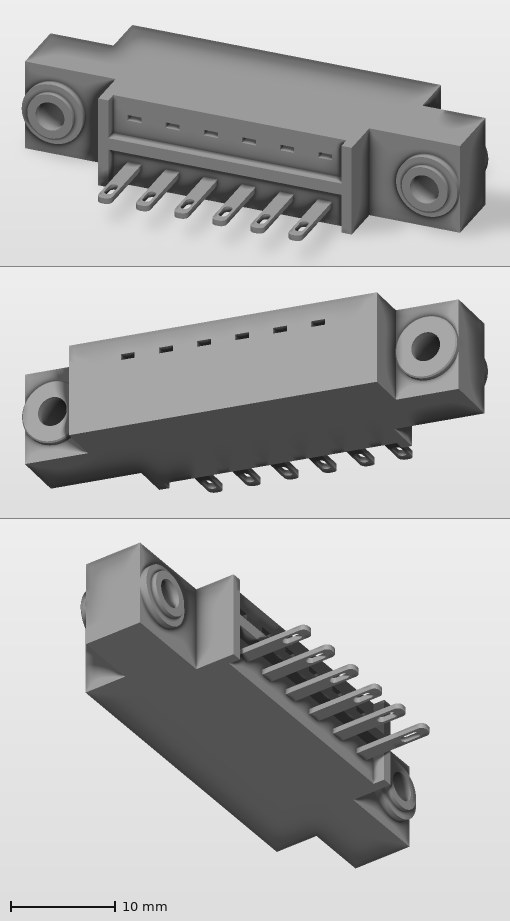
import cadquery as cq


housing_height = 9.4
housing_depth = 15.25
back_block_width = 32.1
front_block_width = 26.33
wing_span = 45.17
wing_front = 4.35
wing_thickness = 6.3
wing_back = wing_front + wing_thickness

recess_width = 24.2
recess_depth = 1.22
rib_thickness = 1.22

contact_count = 6
row_length = 19.8
contact_pitch = row_length / (contact_count - 1)
row_height = 2.55
contact_width = 1.45
contact_thickness = 0.6
contact_places = [i * contact_pitch - row_length / 2 for i in range(contact_count)]

terminal_tip = -6.55
tip_radius = 0.6
eye_width = 0.85
eye_length = 2.15
eye_centre = -4.58

overall_width = 45.3
front_flange_radius = 3.15
back_flange_radius = 3.2
eyelet_offset = overall_width / 2 - back_flange_radius
shank_radius = 2.35
bore_radius = 1.5
front_flange_thickness = 0.75
back_flange_thickness = 0.7
nose_length = 0.55
back_rim_chamfer = 0.15


def box_between(width, front, back, bottom, top):
    """Box centred on X = 0 that fills the given Y and Z ranges."""
    size = (width, back - front, top - bottom)
    corner = cq.Vector(-width / 2, front, bottom)
    return cq.Workplane(cq.Solid.makeBox(*size, pnt=corner))


def cylinder_along_y(radius, x, front, back):
    """Cylinder parallel to Y, centred at the given X and at Z = 0."""
    base = cq.Vector(x, front, 0)
    return cq.Workplane(cq.Solid.makeCylinder(radius, back - front, base, cq.Vector(0, 1, 0)))


def make_housing():
    half_height = housing_height / 2
    body = box_between(back_block_width, wing_front, housing_depth, -half_height, half_height)
    body = body.union(box_between(front_block_width, 0, wing_back, -half_height, half_height))
    body = body.union(box_between(wing_span, wing_front, wing_back, -half_height, half_height))

    half_rib = rib_thickness / 2
    body = body.cut(box_between(recess_width, 0, recess_depth, half_rib, half_height))
    body = body.cut(box_between(recess_width, 0, recess_depth, -half_height, -half_rib))

    half_slot = contact_thickness / 2
    for z in (-row_height, row_height):
        slot = box_between(contact_width, recess_depth, housing_depth, z - half_slot, z + half_slot)
        for x in contact_places:
            body = body.cut(slot.translate((x, 0, 0)))

    for x in (-eyelet_offset, eyelet_offset):
        body = body.cut(cylinder_along_y(shank_radius, x, wing_front, wing_back))
    return body


def make_terminal(x):
    """Flat terminal that fills a lower slot and ends in a rounded tip with a wire eye."""
    half_thickness = contact_thickness / 2
    bar = box_between(contact_width, terminal_tip, housing_depth, -half_thickness, half_thickness)
    bar = bar.edges("|Z and <Y").fillet(tip_radius)
    eye = (
        cq.Workplane("XY")
        .center(0, eye_centre)
        .slot2D(eye_length, eye_width, angle=90)
        .extrude(half_thickness, both=True)
    )
    return bar.cut(eye).translate((x, 0, -row_height))


def make_eyelet(x):
    """Hollow shank through a wing, with a flange on each side and a nose at the front."""
    flange_front = wing_front - front_flange_thickness
    flange_back = wing_back + back_flange_thickness
    nose_front = flange_front - nose_length
    back_flange = cylinder_along_y(back_flange_radius, x, wing_back, flange_back)
    return (
        cylinder_along_y(shank_radius, x, nose_front, flange_back)
        .union(cylinder_along_y(front_flange_radius, x, flange_front, wing_front))
        .union(back_flange.edges(">Y").chamfer(back_rim_chamfer))
        .cut(cylinder_along_y(bore_radius, x, nose_front, flange_back))
    )


housing = make_housing()
terminals = [make_terminal(x) for x in contact_places]
eyelets = [make_eyelet(x) for x in (-eyelet_offset, eyelet_offset)]

result = cq.Compound.makeCompound(
    [housing.val()] + [terminal.val() for terminal in terminals] + [eyelet.val() for eyelet in eyelets]
)